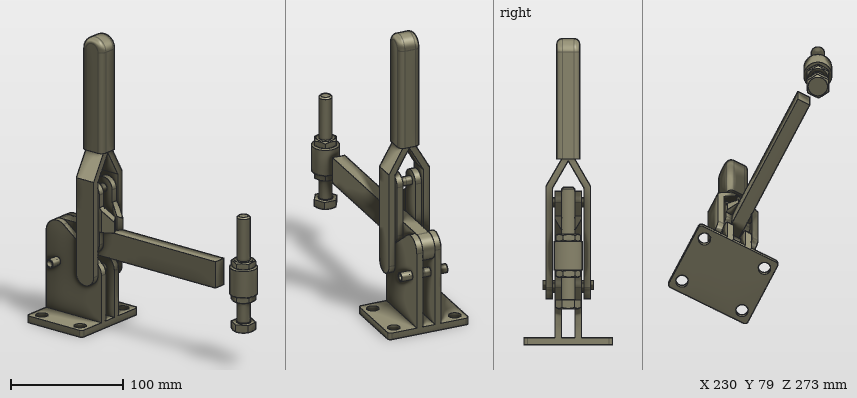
import cadquery as cq
import math


SHEET = 6.0
ARM_THICKNESS = 12.0
SIDE_GAP = 2.0
PIVOT_DIAMETER = 8.3

CHEEK_ROUND = 12.5
ARM_PIVOT_X = CHEEK_ROUND
ARM_PIVOT_Z = 79.5
HANDLE_PIVOT_X = 51.25
HANDLE_PIVOT_Z = 51.0
LINK_PIVOT_Z = 127.0

CHEEK_INSIDE = ARM_THICKNESS / 2
CHEEK_OUTSIDE = CHEEK_INSIDE + SHEET
BAR_INSIDE = CHEEK_OUTSIDE + SIDE_GAP
BAR_OUTSIDE = BAR_INSIDE + SHEET

BASE_LENGTH = HANDLE_PIVOT_X + CHEEK_ROUND
BASE_WIDTH = 79.0
BASE_THICKNESS = 6.5
BASE_CORNER = 3.0
MOUNT_HOLE_DIAMETER = 11.0
MOUNT_SPACING_X = 44.0
MOUNT_SPACING_Y = 60.0
STOP_PIN_X = 12.5
STOP_PIN_Z = 53.4
STOP_PIN_LENGTH = 45.0
STOP_PIN_BORE = 6.0
STOP_PIN_BORE_DEPTH = 8.0

ARM_HEIGHT = 25.0
ARM_END_X = 190.0
ARM_TOP = ARM_PIVOT_Z + ARM_HEIGHT / 2

LINK_WIDTH = 20.0
TAB_BEND_X = BASE_LENGTH
TAB_ANGLE = 30.0
TAB_REACH = 10.0
TAB_END_HEIGHT = 10.5
TAB_SLOPE = 45.0

BAR_WIDTH = 20.0
BEND_ANGLE = 30.0
BEND_INSIDE_Z = 139.6
GRIP_TOP = 273.0
GRIP_WALL = 2.0
GRIP_THICKNESS = 20.5
GRIP_FILLET = 5.0
GRIP_ROUND = BAR_WIDTH / 2 + GRIP_WALL
GRIP_ROUND_Z = GRIP_TOP - GRIP_ROUND
BEND_OFFSET = SHEET * math.tan(math.radians(BEND_ANGLE / 2))
BEND_RISE = BAR_INSIDE / math.tan(math.radians(BEND_ANGLE))
BEND_OUTSIDE_Z = BEND_INSIDE_Z + BEND_OFFSET
BARS_MEET_Z = BEND_INSIDE_Z + BEND_RISE
GRIP_BOTTOM = BEND_OUTSIDE_Z + BEND_RISE

SLEEVE_DIAMETER = 25.0
SPINDLE_X = 217.5
ROD_DIAMETER = 12.0
ROD_TOP = 140.5
ROD_CHAMFER = 1.6
HEX_ACROSS_FLATS = 19.3
HEX_END_DIAMETER = 17.2
NUT_HEIGHT = 7.0
NUT_TURN = 4.0
HEAD_BOTTOM = 32.0
HEAD_HEIGHT = 8.0
WASHER_DIAMETER = 13.0
WASHER_HEIGHT = 0.6


def mirrored_pair(half):
    """The half on the +Y side together with its mirror image."""
    return half.union(half.mirror("XZ"))


def cross_pin(x, z, diameter, length):
    """Cylinder along Y, centred on the symmetry plane."""
    return cq.Workplane("XZ").center(x, z).circle(diameter / 2).extrude(length / 2, both=True)


def upright_slot(x, bottom_z, top_z, width):
    """XZ sketch of a strip with a full round centred at each of the two heights."""
    return cq.Workplane("XZ").center(x, (bottom_z + top_z) / 2).slot2D(top_z - bottom_z + width, width, 90)


def between(sketch, y_inside, y_outside):
    """The closed XZ sketch extruded between two Y levels."""
    return sketch.extrude(-(y_outside - y_inside)).translate((0, y_inside, 0))


def make_base():
    plate = (
        cq.Workplane("XY")
        .center(BASE_LENGTH / 2, 0)
        .rect(BASE_LENGTH, BASE_WIDTH)
        .extrude(BASE_THICKNESS)
        .edges("|Z")
        .fillet(BASE_CORNER)
        .faces(">Z")
        .workplane(origin=(BASE_LENGTH / 2, 0, BASE_THICKNESS))
        .rect(MOUNT_SPACING_X, MOUNT_SPACING_Y, forConstruction=True)
        .vertices()
        .hole(MOUNT_HOLE_DIAMETER)
    )

    slope_normal = math.atan2(HANDLE_PIVOT_X - ARM_PIVOT_X, ARM_PIVOT_Z - HANDLE_PIVOT_Z)

    def on_round(pivot_x, pivot_z, angle):
        return pivot_x + CHEEK_ROUND * math.cos(angle), pivot_z + CHEEK_ROUND * math.sin(angle)

    cheek = between(
        cq.Workplane("XZ")
        .moveTo(0, BASE_THICKNESS)
        .lineTo(0, ARM_PIVOT_Z)
        .threePointArc(
            on_round(ARM_PIVOT_X, ARM_PIVOT_Z, (math.pi + slope_normal) / 2),
            on_round(ARM_PIVOT_X, ARM_PIVOT_Z, slope_normal),
        )
        .lineTo(*on_round(HANDLE_PIVOT_X, HANDLE_PIVOT_Z, slope_normal))
        .threePointArc(
            on_round(HANDLE_PIVOT_X, HANDLE_PIVOT_Z, slope_normal / 2),
            on_round(HANDLE_PIVOT_X, HANDLE_PIVOT_Z, 0),
        )
        .lineTo(BASE_LENGTH, BASE_THICKNESS)
        .close(),
        CHEEK_INSIDE,
        CHEEK_OUTSIDE,
    )

    handle_pivot = cross_pin(HANDLE_PIVOT_X, HANDLE_PIVOT_Z, PIVOT_DIAMETER, 2 * BAR_INSIDE)
    stop_pin = cross_pin(STOP_PIN_X, STOP_PIN_Z, PIVOT_DIAMETER, STOP_PIN_LENGTH)
    stop_pin_core = STOP_PIN_LENGTH - 2 * STOP_PIN_BORE_DEPTH
    bores = cross_pin(STOP_PIN_X, STOP_PIN_Z, STOP_PIN_BORE, STOP_PIN_LENGTH).cut(
        cross_pin(STOP_PIN_X, STOP_PIN_Z, STOP_PIN_BORE, stop_pin_core)
    )
    return plate.union(mirrored_pair(cheek)).union(handle_pivot).union(stop_pin).cut(bores)


def make_arm():
    return (
        cq.Workplane("XZ")
        .moveTo(ARM_END_X, ARM_PIVOT_Z - ARM_HEIGHT / 2)
        .lineTo(ARM_END_X, ARM_TOP)
        .lineTo(ARM_PIVOT_X, ARM_TOP)
        .threePointArc(
            (ARM_PIVOT_X - ARM_HEIGHT / 2, ARM_PIVOT_Z),
            (ARM_PIVOT_X, ARM_PIVOT_Z - ARM_HEIGHT / 2),
        )
        .close()
        .extrude(ARM_THICKNESS / 2, both=True)
    )


def make_link():
    strip = between(
        upright_slot(HANDLE_PIVOT_X, ARM_PIVOT_Z, LINK_PIVOT_Z, LINK_WIDTH), CHEEK_INSIDE, CHEEK_OUTSIDE
    )

    angle = math.radians(TAB_ANGLE)
    tip_x = TAB_BEND_X + TAB_REACH
    tip_y = CHEEK_OUTSIDE - TAB_REACH * math.tan(angle)
    tab_plan = [
        (HANDLE_PIVOT_X, CHEEK_INSIDE),
        (HANDLE_PIVOT_X, CHEEK_OUTSIDE),
        (TAB_BEND_X, CHEEK_OUTSIDE),
        (tip_x, tip_y),
        (tip_x - SHEET * math.sin(angle), tip_y - SHEET * math.cos(angle)),
        (TAB_BEND_X - SHEET * math.tan(angle / 2), CHEEK_INSIDE),
    ]
    tab_end_top = ARM_TOP + TAB_END_HEIGHT
    tab_root_top = tab_end_top + (tip_x - HANDLE_PIVOT_X) * math.tan(math.radians(TAB_SLOPE))
    tab_side = [
        (HANDLE_PIVOT_X, ARM_TOP),
        (tip_x, ARM_TOP),
        (tip_x, tab_end_top),
        (HANDLE_PIVOT_X, tab_root_top),
    ]
    tab = (
        cq.Workplane("XY", origin=(0, 0, ARM_TOP))
        .polyline(tab_plan)
        .close()
        .extrude(tab_root_top - ARM_TOP)
    )
    tab = tab.intersect(between(cq.Workplane("XZ").polyline(tab_side).close(), 0, CHEEK_OUTSIDE))

    pin = cross_pin(HANDLE_PIVOT_X, LINK_PIVOT_Z, PIVOT_DIAMETER, 2 * BAR_INSIDE)
    return mirrored_pair(strip.union(tab)).union(pin)


def make_handle():
    """Two bars cranked inward so that they lie face to face inside the grip."""
    bar_bottom = HANDLE_PIVOT_Z - BAR_WIDTH / 2
    bar_top = GRIP_ROUND_Z + BAR_WIDTH / 2
    crank = [
        (BAR_INSIDE, bar_bottom),
        (BAR_OUTSIDE, bar_bottom),
        (BAR_OUTSIDE, BEND_OUTSIDE_Z),
        (SHEET, GRIP_BOTTOM),
        (SHEET, bar_top),
        (0, bar_top),
        (0, BARS_MEET_Z),
        (BAR_INSIDE, BEND_INSIDE_Z),
    ]
    cranked_bar = (
        cq.Workplane("YZ", origin=(HANDLE_PIVOT_X, 0, 0))
        .polyline(crank)
        .close()
        .extrude(BAR_WIDTH / 2, both=True)
    )
    rounded_outline = between(
        upright_slot(HANDLE_PIVOT_X, HANDLE_PIVOT_Z, GRIP_ROUND_Z, BAR_WIDTH), 0, BAR_OUTSIDE
    )
    return mirrored_pair(cranked_bar.intersect(rounded_outline))


def make_grip(handle):
    grip = (
        cq.Workplane("XZ")
        .moveTo(HANDLE_PIVOT_X - GRIP_ROUND, GRIP_BOTTOM)
        .lineTo(HANDLE_PIVOT_X - GRIP_ROUND, GRIP_ROUND_Z)
        .threePointArc((HANDLE_PIVOT_X, GRIP_TOP), (HANDLE_PIVOT_X + GRIP_ROUND, GRIP_ROUND_Z))
        .lineTo(HANDLE_PIVOT_X + GRIP_ROUND, GRIP_BOTTOM)
        .close()
        .extrude(GRIP_THICKNESS / 2, both=True)
    )
    grip = grip.faces("<Y or >Y").edges("not <Z").fillet(GRIP_FILLET)
    return grip.cut(handle)


def spindle_cylinder(diameter, bottom_z, top_z):
    return cq.Workplane("XY", origin=(SPINDLE_X, 0, bottom_z)).circle(diameter / 2).extrude(top_z - bottom_z)


def hexagon(bottom_z, height, turn, chamfered_ends):
    """Hexagonal prism with corners toward +Y and -Y, chamfered by a 30 degree cone at the chosen ends."""
    across_corners = HEX_ACROSS_FLATS / math.cos(math.pi / 6)
    prism = (
        cq.Workplane("XY")
        .polygon(6, across_corners)
        .extrude(height)
        .rotate((0, 0, 0), (0, 0, 1), 90 + turn)
        .translate((SPINDLE_X, 0, bottom_z))
    )
    radial_cut = (across_corners - HEX_END_DIAMETER) / 2
    axial_cut = radial_cut * math.tan(math.pi / 6)
    envelope = (
        spindle_cylinder(across_corners, bottom_z, bottom_z + height)
        .faces(chamfered_ends)
        .chamfer(axial_cut, radial_cut)
    )
    return prism.intersect(envelope)


def make_spindle():
    sleeve_bottom = ARM_PIVOT_Z - ARM_HEIGHT / 2
    head_top = HEAD_BOTTOM + HEAD_HEIGHT
    rod = spindle_cylinder(ROD_DIAMETER, HEAD_BOTTOM, ROD_TOP).faces(">Z").chamfer(ROD_CHAMFER)
    sleeve = spindle_cylinder(SLEEVE_DIAMETER, sleeve_bottom, ARM_TOP)
    spindle = rod.union(sleeve)
    for nut_bottom in (sleeve_bottom - NUT_HEIGHT, ARM_TOP):
        spindle = spindle.union(hexagon(nut_bottom, NUT_HEIGHT, NUT_TURN, "<Z or >Z"))
    washer_face = spindle_cylinder(WASHER_DIAMETER, head_top, head_top + WASHER_HEIGHT)
    return spindle.union(hexagon(HEAD_BOTTOM, HEAD_HEIGHT, 0, "<Z")).union(washer_face)


base = make_base()
arm = make_arm()
link = make_link()
handle = make_handle()
grip = make_grip(handle)
spindle = make_spindle()

bodies = (base, arm, link, handle, grip, spindle)
result = cq.Compound.makeCompound([body.solids().val() for body in bodies])